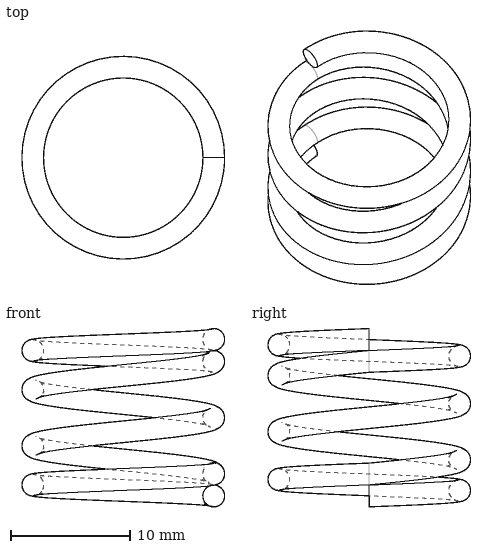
import cadquery as cq

outer_diameter = 17.04
height = 15.0
wire_diameter = 1.84
coil_gap = 0.02
end_turns = 1
active_turns = 2

coil_radius = (outer_diameter - wire_diameter) / 2
end_pitch = wire_diameter + coil_gap
end_rise = end_turns * end_pitch
active_rise = height - wire_diameter - 2 * end_rise
active_pitch = active_rise / active_turns


def coil(pitch, rise, base_z):
    """Round wire wound about Z, starting on +X with its centre at base_z."""
    path = cq.Wire.makeHelix(pitch, rise, coil_radius, center=cq.Vector(0, 0, base_z))
    section = cq.Workplane("XZ").center(coil_radius, base_z).circle(wire_diameter / 2)
    return section.sweep(cq.Workplane(obj=path), isFrenet=True)


lower_z = wire_diameter / 2
active_z = lower_z + end_rise
upper_z = active_z + active_rise

lower_coil = coil(end_pitch, end_rise, lower_z)
active_coil = coil(active_pitch, active_rise, active_z)
upper_coil = coil(end_pitch, end_rise, upper_z)

result = lower_coil.union(active_coil).union(upper_coil)